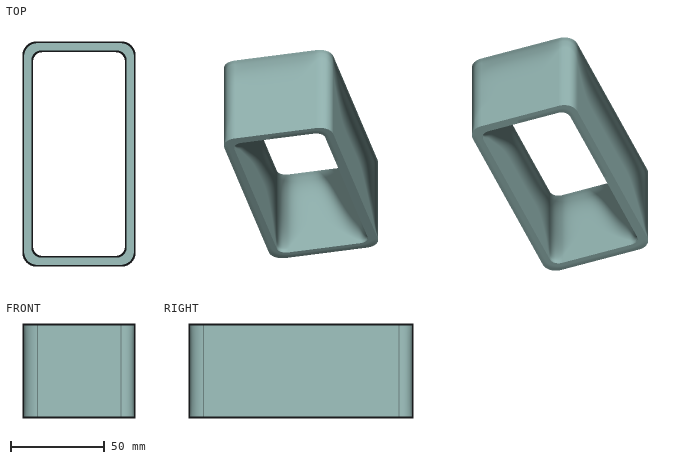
import cadquery as cq

width = 60.0
depth = 120.0
length = 50.0
wall = 5.0
outer_radius = 1.5 * wall
inner_radius = wall


def rounded_bar(size_x, size_y, corner_radius):
    """Solid bar with rounded vertical edges, standing on Z = 0."""
    bar = cq.Workplane("XY").rect(size_x, size_y).extrude(length)
    return bar.edges("|Z").fillet(corner_radius)


outer_bar = rounded_bar(width, depth, outer_radius)
bore = rounded_bar(width - 2 * wall, depth - 2 * wall, inner_radius)

result = outer_bar.cut(bore)